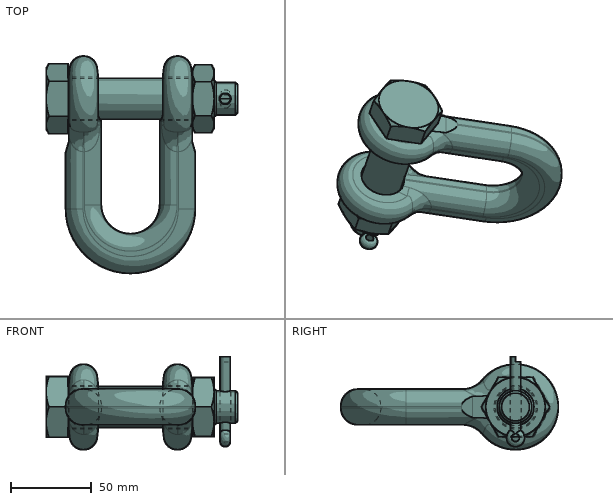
import cadquery as cq
import math

LEG_CENTER_X = 29.2
LEG_THICKNESS = 22.3
LEG_HALF = LEG_THICKNESS / 2
LEG_FLAT_HALF = 0.4
LEG_CORNER = LEG_HALF - LEG_FLAT_HALF
CROWN_Y = -108.5
INNER_BEND_Y = -65.7
OUTER_BEND_Y = CROWN_Y + LEG_CENTER_X + LEG_HALF

EYE_RADIUS = 26.6
EYE_HOLE_RADIUS = 13.5
EYE_CORE_RADIUS = 13.4
EYE_CAP_RADIUS = 8.6
EYE_DRAFT = math.radians(7)
NECK_RADIUS = 15.8

SEAT_HALF = 9.2
SEAT_END_Y = -26.8
SEAT_RUNOUT_Y = -33.6

X_DIRECTION = (1, 0, 0)
LEG_DIRECTION = (0, -1, 0)

SHANK_DIAMETER = 25.5
SHANK_RADIUS = SHANK_DIAMETER / 2
HEAD_X = -52.3
HEAD_SEAT_X = -38.6
HEAD_FLATS = 37.8
NUT_SEAT_X = 38.5
NUT_END_X = 51.9
NUT_FLATS = 36.8
HEX_CHAMFER_ANGLE = math.radians(30)
STUB_RADIUS = 10.1
STUB_CONE = 1.4
BOLT_END_X = 66.6
BOLT_END_CHAMFER = 1.5
PIN_HOLE_RADIUS = 3.5

PIN_X = 58.8
PIN_RADIUS = 3.2
PIN_LONG_TOP = 31.2
PIN_SHORT_TOP = 28.1
RING_RADIUS = 5.7
RING_CENTER_Z = -19.0


def half_rod_section(plane, center, side):
    """Half of the rod section, on the given side of its centreline (+1 or -1)."""
    corner_mid = LEG_FLAT_HALF + LEG_CORNER * math.sqrt(0.5)

    def across(distance):
        return center + side * distance

    return (
        cq.Workplane(plane)
        .moveTo(center, -LEG_HALF)
        .lineTo(across(LEG_FLAT_HALF), -LEG_HALF)
        .threePointArc((across(corner_mid), -corner_mid), (across(LEG_HALF), -LEG_FLAT_HALF))
        .lineTo(across(LEG_HALF), LEG_FLAT_HALF)
        .threePointArc((across(corner_mid), corner_mid), (across(LEG_FLAT_HALF), LEG_HALF))
        .lineTo(center, LEG_HALF)
        .close()
    )


def half_bend(side, bend_y):
    """U-bend of the outer (+1) or inner (-1) half of the rod."""
    plane = cq.Plane((0, bend_y, 0), X_DIRECTION, LEG_DIRECTION)
    return half_rod_section(plane, LEG_CENTER_X, side).revolve(180, (0, 0), (0, -1))


def crown_filler():
    """Crescent between the two bend centrelines."""
    return (
        cq.Workplane("XY")
        .workplane(offset=-LEG_HALF)
        .moveTo(-LEG_CENTER_X, INNER_BEND_Y)
        .threePointArc((0, INNER_BEND_Y - LEG_CENTER_X), (LEG_CENTER_X, INNER_BEND_Y))
        .lineTo(LEG_CENTER_X, OUTER_BEND_Y)
        .threePointArc((0, OUTER_BEND_Y - LEG_CENTER_X), (-LEG_CENTER_X, OUTER_BEND_Y))
        .close()
        .extrude(2 * LEG_HALF)
    )


def eye_ring():
    """Full ring round the X axis with a rounded rim and drafted sides, centred on X = 0."""
    tangent_x = EYE_CAP_RADIUS * math.cos(EYE_DRAFT)
    tangent_radius = EYE_RADIUS - EYE_CAP_RADIUS * (1 - math.sin(EYE_DRAFT))
    core_x = tangent_x + (tangent_radius - EYE_CORE_RADIUS) * math.tan(EYE_DRAFT)
    return (
        cq.Workplane("XY")
        .moveTo(-tangent_x, tangent_radius)
        .threePointArc((0, EYE_RADIUS), (tangent_x, tangent_radius))
        .lineTo(core_x, EYE_CORE_RADIUS)
        .lineTo(-core_x, EYE_CORE_RADIUS)
        .close()
        .revolve(360, (0, 0), (1, 0))
    )


def straight_leg():
    """Leg centred on X = 0 whose +X half is the outer one."""
    plane = cq.Plane((0, 0, 0), X_DIRECTION, LEG_DIRECTION)
    outer = half_rod_section(plane, 0, 1).extrude(-OUTER_BEND_Y)
    inner = half_rod_section(plane, 0, -1).extrude(-INNER_BEND_Y)
    return outer.union(inner)


def eye_and_leg():
    """Right-hand leg with its eye, blended above and below."""
    arm = straight_leg().union(eye_ring())
    half_height = LEG_HALF / 2
    for low_z in (half_height, -3 * half_height):
        blend_zone = cq.selectors.BoxSelector(
            (-LEG_HALF, -EYE_RADIUS, low_z),
            (LEG_HALF, -EYE_CORE_RADIUS - EYE_CAP_RADIUS / 2, low_z + 2 * half_height),
        )
        arm = arm.edges(blend_zone).fillet(NECK_RADIUS)
    return arm.cut(seat_cut()).translate((LEG_CENTER_X, 0, 0))


def seat_cut():
    """Material removed outside the flat on the outer side of the leg and eye."""
    clear = 2 * LEG_HALF
    return (
        cq.Workplane("XY")
        .workplane(offset=-clear)
        .polyline([
            (SEAT_HALF, EYE_RADIUS),
            (SEAT_HALF, SEAT_END_Y),
            (LEG_HALF, SEAT_RUNOUT_Y),
            (LEG_HALF + clear, SEAT_RUNOUT_Y),
            (LEG_HALF + clear, EYE_RADIUS),
        ])
        .close()
        .extrude(2 * clear)
    )


def make_shackle():
    right_arm = eye_and_leg()
    bow = half_bend(1, OUTER_BEND_Y).union(half_bend(-1, INNER_BEND_Y)).union(crown_filler())
    shackle = bow.union(right_arm).union(right_arm.mirror("YZ"))
    bore_half = LEG_CENTER_X + 2 * LEG_HALF
    bore = cq.Workplane("YZ").workplane(offset=-bore_half).circle(EYE_HOLE_RADIUS).extrude(2 * bore_half)
    return shackle.cut(bore)


def hexagon(start_x, end_x, flats, chamfer_start, chamfer_end):
    """Hexagon along X with corners on +Y and -Y, and cone chamfers on the chosen ends."""
    corner_radius = flats / 2 / math.cos(math.pi / 6)
    chamfer = (corner_radius - flats / 2) * math.tan(HEX_CHAMFER_ANGLE)
    prism = (
        cq.Workplane("YZ")
        .workplane(offset=start_x)
        .polygon(6, 2 * corner_radius)
        .extrude(end_x - start_x)
    )
    outline = [(start_x, 0)]
    if chamfer_start:
        outline += [(start_x, flats / 2), (start_x + chamfer, corner_radius)]
    else:
        outline += [(start_x, corner_radius)]
    if chamfer_end:
        outline += [(end_x - chamfer, corner_radius), (end_x, flats / 2)]
    else:
        outline += [(end_x, corner_radius)]
    outline += [(end_x, 0)]
    envelope = cq.Workplane("XY").polyline(outline).close().revolve(360, (0, 0), (1, 0))
    return prism.intersect(envelope)


def make_bolt():
    stem = (
        cq.Workplane("XY")
        .polyline([
            (HEAD_SEAT_X, 0),
            (HEAD_SEAT_X, SHANK_RADIUS),
            (NUT_SEAT_X, SHANK_RADIUS),
            (NUT_END_X, STUB_RADIUS + STUB_CONE),
            (NUT_END_X + STUB_CONE, STUB_RADIUS),
            (BOLT_END_X - BOLT_END_CHAMFER, STUB_RADIUS),
            (BOLT_END_X, STUB_RADIUS - BOLT_END_CHAMFER),
            (BOLT_END_X, 0),
        ])
        .close()
        .revolve(360, (0, 0), (1, 0))
    )
    head = hexagon(HEAD_X, HEAD_SEAT_X, HEAD_FLATS, True, False)
    nut = hexagon(NUT_SEAT_X, NUT_END_X, NUT_FLATS, True, True)
    pin_hole = (
        cq.Workplane("XY")
        .workplane(offset=-SHANK_RADIUS)
        .center(PIN_X, 0)
        .circle(PIN_HOLE_RADIUS)
        .extrude(2 * SHANK_RADIUS)
    )
    return stem.union(head).union(nut).cut(pin_hole)


def make_pin():
    ring_inner = RING_RADIUS - PIN_RADIUS
    legs = (
        cq.Workplane("XY")
        .workplane(offset=RING_CENTER_Z)
        .circle(PIN_RADIUS)
        .extrude(PIN_LONG_TOP - RING_CENTER_Z)
    )
    trim_size = 4 * PIN_RADIUS
    trim = cq.Workplane("XY").box(trim_size, trim_size, trim_size, centered=(True, False, False))
    legs = legs.cut(trim.translate((0, 0, PIN_SHORT_TOP)))
    ring_hole = (
        cq.Workplane("YZ")
        .workplane(offset=-trim_size / 2)
        .center(0, RING_CENTER_Z)
        .circle(ring_inner)
        .extrude(trim_size)
    )
    legs = legs.cut(ring_hole)
    ring = (
        cq.Workplane("XY")
        .moveTo(-PIN_RADIUS, ring_inner)
        .threePointArc((0, RING_RADIUS), (PIN_RADIUS, ring_inner))
        .close()
        .revolve(360, (0, 0), (1, 0))
        .translate((0, 0, RING_CENTER_Z))
    )
    return legs.union(ring).translate((PIN_X, 0, 0))


shackle = make_shackle()
bolt = make_bolt()
pin = make_pin()

result = cq.Compound.makeCompound([shackle.val(), bolt.val(), pin.val()])